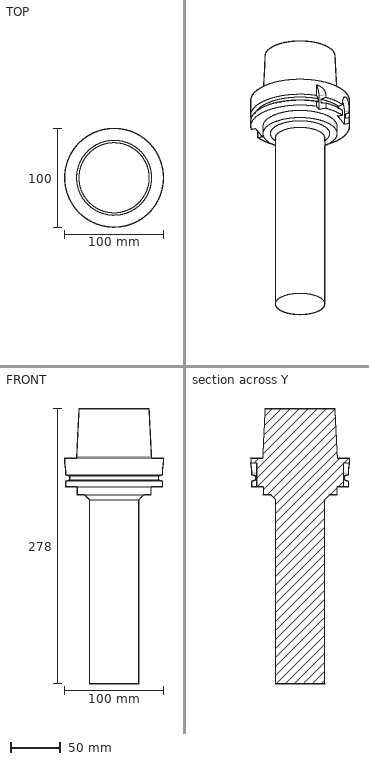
import cadquery as cq

flange_radius = 100 / 2
flange_height = 29

taper_height = 50
taper_base_radius = 75.8 / 2
taper_ratio = 1 / 9.98
taper_collar_height = 1.5
taper_tip_radius = taper_base_radius - taper_ratio * (taper_height - taper_collar_height) / 2

groove_centre_depth = 20
groove_floor_radius = 92 / 2
groove_floor_width = 3.75
groove_mouth_width = 6.4

shoulder_radius = 75 / 2
shoulder_bottom = -37
shank_radius = 50 / 2
shank_bottom = -228
cone_height = 5
cone_top_radius = shank_radius + cone_height
cone_bottom = shoulder_bottom - cone_height

slot_width = 20
slot_top = -5
slot_floor_distance = 44

notch_width = 18
notch_centre_y = 40.4
notch_floor_distance = 31.5


def revolved_body():
    groove_z = -groove_centre_depth
    outline = [
        (0, taper_height),
        (taper_tip_radius, taper_height),
        (taper_base_radius, taper_collar_height),
        (taper_base_radius, 0),
        (flange_radius, 0),
        (flange_radius, groove_z + groove_mouth_width / 2),
        (groove_floor_radius, groove_z + groove_floor_width / 2),
        (groove_floor_radius, groove_z - groove_floor_width / 2),
        (flange_radius, groove_z - groove_mouth_width / 2),
        (flange_radius, -flange_height),
        (shoulder_radius, -flange_height),
        (shoulder_radius, shoulder_bottom),
        (cone_top_radius, shoulder_bottom),
        (shank_radius, cone_bottom),
        (shank_radius, shank_bottom),
        (0, shank_bottom),
    ]
    return cq.Workplane("XZ").polyline(outline).close().revolve(360, (0, 0, 0), (0, 1, 0))


def round_topped_cutter(centre_y, width, top, floor_distance):
    """Cutter reaching from the flange underside up to a round top, on the +X side of its floor."""
    radius = width / 2
    return (
        cq.Workplane("YZ", origin=(floor_distance, 0, 0))
        .moveTo(centre_y - radius, -flange_height)
        .lineTo(centre_y - radius, top - radius)
        .threePointArc((centre_y, top), (centre_y + radius, top - radius))
        .lineTo(centre_y + radius, -flange_height)
        .close()
        .extrude(flange_radius - floor_distance)
    )


drive_slot = round_topped_cutter(0, slot_width, slot_top, slot_floor_distance)
notch = round_topped_cutter(notch_centre_y, notch_width, slot_top, notch_floor_distance)

result = (
    revolved_body()
    .cut(drive_slot)
    .cut(drive_slot.mirror("YZ"))
    .cut(notch.mirror("YZ"))
)